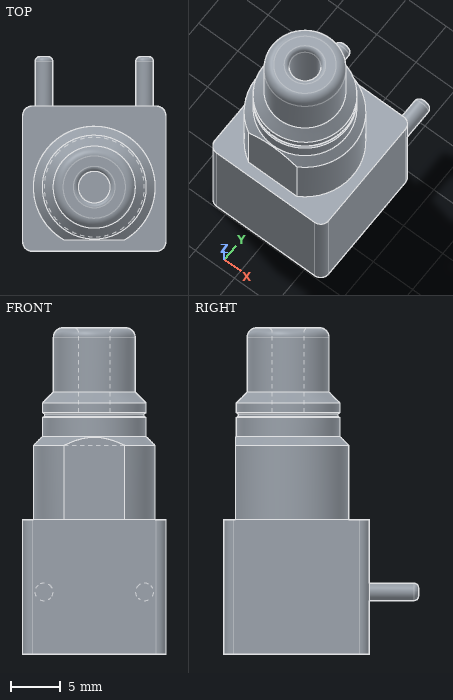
import cadquery as cq

block_width = 14.5
block_front = 6.5
block_back = 8.2
block_height = 13.6
block_corner_radius = 1.0

total_height = 33.0
body_radius = 6.15
collar_radius = 5.25
tip_radius = 4.15
body_top = 22.0
collar_top = 26.5
collar_chamfer = collar_radius - tip_radius
body_chamfer = body_radius - collar_radius
tip_rounding = 1.0

groove_center = 24.15
groove_mouth_width = 0.5
groove_floor_width = 0.25
groove_depth = 0.2

flat_distance = 5.33

bore_radius = 1.6
bore_depth = 9.0
bore_rounding = 0.5

pin_radius = 0.9
pin_length = 5.0
pin_spacing = 10.16
pin_height = 6.3
pin_rounding = 0.5


def make_block():
    """Rectangular block with rounded vertical edges."""
    depth = block_front + block_back
    return (
        cq.Workplane("XY")
        .center(0, block_back - depth / 2)
        .rect(block_width, depth)
        .extrude(block_height)
        .edges("|Z")
        .fillet(block_corner_radius)
    )


def make_body():
    """Lower round step with a conical shoulder and one wrench flat."""
    height = body_top - block_height
    body = (
        cq.Workplane("XY")
        .workplane(offset=block_height)
        .circle(body_radius)
        .extrude(height)
        .faces(">Z")
        .chamfer(body_chamfer)
    )
    beyond_flat = (
        cq.Workplane("XY")
        .workplane(offset=block_height)
        .center(0, -flat_distance - body_radius / 2)
        .rect(2 * body_radius, body_radius)
        .extrude(height)
    )
    return body.cut(beyond_flat)


def make_collar():
    """Middle step with a conical shoulder and a ring groove, revolved about Z."""
    floor_radius = collar_radius - groove_depth
    return (
        cq.Workplane("XZ")
        .moveTo(0, body_top)
        .lineTo(collar_radius, body_top)
        .lineTo(collar_radius, groove_center - groove_mouth_width / 2)
        .lineTo(floor_radius, groove_center - groove_floor_width / 2)
        .lineTo(floor_radius, groove_center + groove_floor_width / 2)
        .lineTo(collar_radius, groove_center + groove_mouth_width / 2)
        .lineTo(collar_radius, collar_top - collar_chamfer)
        .lineTo(tip_radius, collar_top)
        .lineTo(0, collar_top)
        .close()
        .revolve(360, (0, 0, 0), (0, 1, 0))
    )


def make_tip():
    """Upper step with a rounded outer top edge."""
    return (
        cq.Workplane("XY")
        .workplane(offset=collar_top)
        .circle(tip_radius)
        .extrude(total_height - collar_top)
        .faces(">Z")
        .edges()
        .fillet(tip_rounding)
    )


def make_bore():
    """Cutting volume of the blind bore, flared by a rounded mouth."""
    mouth_radius = bore_radius + bore_rounding
    return (
        cq.Workplane("XZ")
        .moveTo(0, total_height - bore_depth)
        .lineTo(bore_radius, total_height - bore_depth)
        .lineTo(bore_radius, total_height - bore_rounding)
        .radiusArc((mouth_radius, total_height), bore_rounding)
        .lineTo(0, total_height)
        .close()
        .revolve(360, (0, 0, 0), (0, 1, 0))
    )


def make_pin(x):
    """Round pin pointing along +Y, with a rounded end."""
    return (
        cq.Workplane("XZ", origin=(x, block_back, pin_height))
        .circle(pin_radius)
        .extrude(-pin_length)
        .faces(">Y")
        .edges()
        .fillet(pin_rounding)
    )


result = make_block().union(make_body()).union(make_collar()).union(make_tip())
result = result.cut(make_bore())
for side in (-1, 1):
    result = result.union(make_pin(side * pin_spacing / 2))